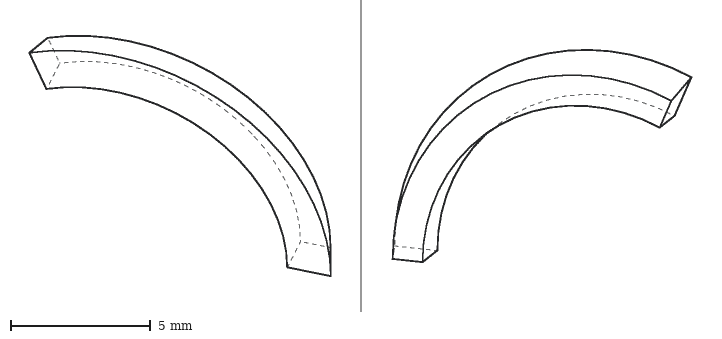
import cadquery as cq

inner_radius = 6.5
front_outer_radius = 8.15
outer_taper = 0.5
depth = 1.55
sweep_angle = 113

back_outer_radius = front_outer_radius - outer_taper

section = (
    cq.Workplane("XY")
    .moveTo(inner_radius, 0)
    .lineTo(front_outer_radius, 0)
    .lineTo(back_outer_radius, depth)
    .lineTo(inner_radius, depth)
    .close()
)

result = section.revolve(sweep_angle, (0, 0, 0), (0, -1, 0))